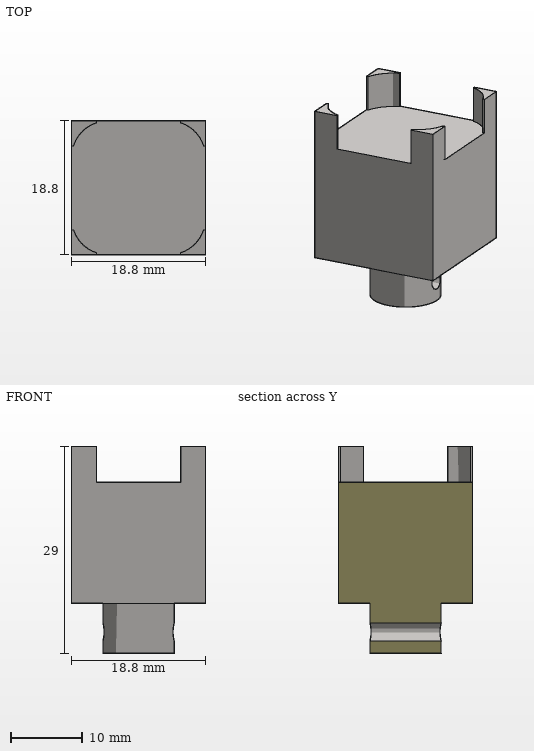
import cadquery as cq

block_width = 18.8
block_height = 17.0

stem_diameter = 10.0
stem_length = 7.0
cross_hole_diameter = 2.5
cross_hole_height = 3.0

total_height = 29.0
post_width = 3.5
post_edge_wall = 0.3
post_arc_radius = 5.0

block_top = stem_length + block_height
post_height = total_height - block_top
half_width = block_width / 2


def make_stem():
    stem = cq.Workplane("XY").circle(stem_diameter / 2).extrude(stem_length)
    cross_hole = (
        cq.Workplane("YZ")
        .center(0, cross_hole_height)
        .circle(cross_hole_diameter / 2)
        .extrude(stem_diameter, both=True)
    )
    return stem.cut(cross_hole)


def make_block():
    return (
        cq.Workplane("XY")
        .workplane(offset=stem_length)
        .rect(block_width, block_width)
        .extrude(block_height)
    )


def make_post():
    """Post at the +X +Y corner, with a concave inner face."""
    inner = half_width - post_width
    lip = half_width - post_edge_wall
    return (
        cq.Workplane("XY")
        .workplane(offset=block_top)
        .moveTo(half_width, half_width)
        .lineTo(inner, half_width)
        .lineTo(inner, lip)
        .radiusArc((lip, inner), post_arc_radius)
        .lineTo(half_width, inner)
        .close()
        .extrude(post_height)
    )


result = make_block().union(make_stem())
post = make_post()
for quarter_turn in range(4):
    result = result.union(post.rotate((0, 0, 0), (0, 0, 1), 90 * quarter_turn))